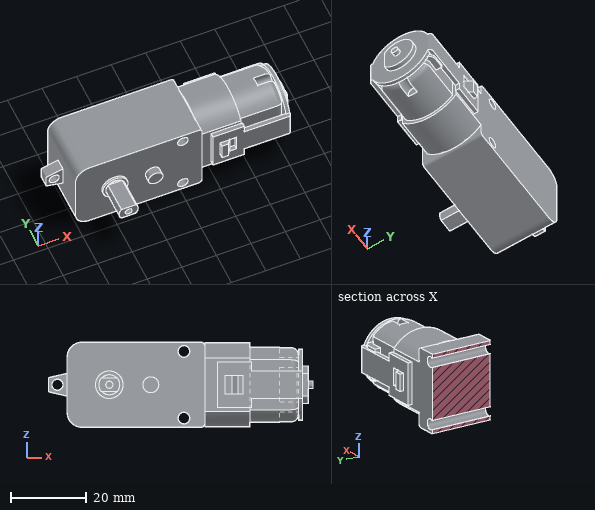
import cadquery as cq

OVERALL_LENGTH = 70.25

BODY_START = 4.9
BODY_END = 41.5
BODY_HEIGHT = 22.7
BODY_FRONT = -10.05
BODY_BACK = 8.6
BODY_CORNER_RADIUS = 4.1
BODY_SMALL_RADIUS = 1.05
SCREW_HOLE_DIAMETER = 3.0
SCREW_HOLE_X = 36.0
SCREW_HOLE_SPACING = 17.7

TAB_TIP_HEIGHT = 3.8
TAB_ROOT_HEIGHT = 6.1
TAB_THICKNESS = 3.2
TAB_TIP_RADIUS = 0.4
TAB_HOLE_DIAMETER = 2.9
TAB_HOLE_X = 2.4

SHAFT_X = 16.15
SHAFT_DIAMETER = 5.55
SHAFT_ACROSS_FLATS = 3.65
SHAFT_TIP = -19.5
SHAFT_HOLE_DIAMETER = 1.9
SHAFT_HOLE_DEPTH = 8.8
COLLAR_DIAMETER = 7.3
COLLAR_THICKNESS = 0.6
COLLAR_RECESS_DIAMETER = 5.35
COLLAR_RECESS_DEPTH = 0.15
PEG_X = 27.2
PEG_DIAMETER = 4.2
PEG_LENGTH = 2.1

SLEEVE_END = 53.45
SLEEVE_DIAMETER = 22.35
SLEEVE_WIDTH = 2 * BODY_BACK
MOTOR_END = 66.4
MOTOR_DIAMETER = 19.95
MOTOR_WIDTH = 14.9
MOTOR_END_RADIUS = 2.0
SLOT_START = 61.4
SLOT_WIDTH = 2.75
SLOT_DEPTH = 2.75
TERMINAL_OUTER_Y = 9.3
TERMINAL_HEIGHT = 9.1

BOSS_END = 69.0
BOSS_DIAMETER = 10.05
BOSS_FLAT_OFFSET = 4.0
MOTOR_SHAFT_DIAMETER = 2.05

CLIP_THICKNESS = 1.25
CLIP_START = 44.8
CLIP_HEAD_END = 53.9
CLIP_HEAD_HEIGHT = 12.1
CLIP_ARM_HEIGHT = 7.4
CLIP_END = 67.5
CLIP_DISC_DIAMETER = 19.0
CLIP_BEND_RADIUS = 0.9
CLIP_OUTER_Y = SLEEVE_WIDTH / 2 + CLIP_THICKNESS
WINDOW_START = 46.85
WINDOW_END = 51.6
WINDOW_HEIGHT = 4.9
HOOK_TOP_END = 48.75
HOOK_ROOT_END = 50.3
HOOK_OUTER_Y = 11.0


def block(x_start, x_end, y_start, y_end, height):
    """Box centred on Z = 0 between the given X and Y limits."""
    size = (x_end - x_start, y_end - y_start, height)
    return cq.Workplane("XY").box(*size, centered=(False, False, True)).translate((x_start, y_start, 0))


def cylinder_x(x_start, x_end, diameter):
    """Cylinder on the motor axis."""
    return cq.Workplane("YZ", origin=(x_start, 0, 0)).circle(diameter / 2).extrude(x_end - x_start)


def cylinder_y(x, y_start, y_end, diameter, z=0.0):
    """Cylinder along Y, from y_start back (+Y) to y_end."""
    plane = cq.Workplane("XZ", origin=(x, y_end, z))
    return plane.circle(diameter / 2).extrude(y_end - y_start)


def make_body():
    body = block(BODY_START, BODY_END, BODY_FRONT, BODY_BACK, BODY_HEIGHT)
    body = body.edges("|Y and <X").fillet(BODY_CORNER_RADIUS)
    body = body.edges("|Y and >X").fillet(BODY_SMALL_RADIUS)
    for side in (-1, 1):
        z = side * SCREW_HOLE_SPACING / 2
        body = body.cut(cylinder_y(SCREW_HOLE_X, BODY_FRONT, BODY_BACK, SCREW_HOLE_DIAMETER, z))
    return body


def make_tab():
    outline = [
        (0, -TAB_TIP_HEIGHT / 2),
        (BODY_START, -TAB_ROOT_HEIGHT / 2),
        (BODY_START, TAB_ROOT_HEIGHT / 2),
        (0, TAB_TIP_HEIGHT / 2),
    ]
    tab = cq.Workplane("XZ").polyline(outline).close().extrude(TAB_THICKNESS / 2, both=True)
    tab = tab.edges("|Y and <X").fillet(TAB_TIP_RADIUS)
    return tab.cut(cylinder_y(TAB_HOLE_X, -TAB_THICKNESS / 2, TAB_THICKNESS / 2, TAB_HOLE_DIAMETER))


def make_output_shaft():
    """Collar with a shallow round recess, and a double-flatted shaft with a blind centre hole."""
    collar_front = BODY_FRONT - COLLAR_THICKNESS
    collar = cylinder_y(SHAFT_X, collar_front, BODY_FRONT, COLLAR_DIAMETER)
    recess = cylinder_y(SHAFT_X, collar_front, collar_front + COLLAR_RECESS_DEPTH, COLLAR_RECESS_DIAMETER)
    shaft = cylinder_y(SHAFT_X, SHAFT_TIP, BODY_FRONT, SHAFT_DIAMETER)
    radius = SHAFT_DIAMETER / 2
    flats = block(SHAFT_X - radius, SHAFT_X + radius, SHAFT_TIP, BODY_FRONT, SHAFT_ACROSS_FLATS)
    hole = cylinder_y(SHAFT_X, SHAFT_TIP, SHAFT_TIP + SHAFT_HOLE_DEPTH, SHAFT_HOLE_DIAMETER)
    return collar.cut(recess).union(shaft.intersect(flats)).cut(hole)


def make_peg():
    return cylinder_y(PEG_X, BODY_FRONT - PEG_LENGTH, BODY_FRONT, PEG_DIAMETER)


def flatted_can(x_start, x_end, diameter, width):
    """Cylinder on the motor axis with flats on its -Y and +Y sides."""
    flats = block(x_start, x_end, -width / 2, width / 2, diameter)
    return cylinder_x(x_start, x_end, diameter).intersect(flats)


def make_motor():
    """Motor can with a rounded rear rim, a round-bottomed slot above and below, and a rear terminal."""
    can = flatted_can(SLEEVE_END, MOTOR_END, MOTOR_DIAMETER, MOTOR_WIDTH)
    can = can.faces(">X").edges().fillet(MOTOR_END_RADIUS)
    slot_arc_z = MOTOR_DIAMETER / 2 - SLOT_DEPTH + SLOT_WIDTH / 2
    slot = cylinder_x(SLOT_START, MOTOR_END, SLOT_WIDTH).translate((0, 0, slot_arc_z))
    slot_sides = block(SLOT_START, MOTOR_END, -SLOT_WIDTH / 2, SLOT_WIDTH / 2, SLOT_WIDTH)
    slot = slot.union(slot_sides.translate((0, 0, slot_arc_z + SLOT_WIDTH / 2)))
    can = can.cut(slot).cut(slot.mirror("XY"))
    terminal = block(SLOT_START, MOTOR_END, 0, TERMINAL_OUTER_Y, TERMINAL_HEIGHT)
    terminal = terminal.edges(">X and >Y").fillet(MOTOR_END_RADIUS)
    return can.union(terminal)


def make_rear_boss():
    """Boss with one flat on its front side, and the motor shaft end."""
    radius = BOSS_DIAMETER / 2
    flat = block(MOTOR_END, BOSS_END, -BOSS_FLAT_OFFSET, radius, BOSS_DIAMETER)
    boss = cylinder_x(MOTOR_END, BOSS_END, BOSS_DIAMETER).intersect(flat)
    shaft = cylinder_x(MOTOR_END, OVERALL_LENGTH, MOTOR_SHAFT_DIAMETER)
    return boss.union(shaft)


def make_clip_side():
    """Windowed head on the +Y side of the sleeve, with its sloped hook."""
    inner_y = SLEEVE_WIDTH / 2
    head = block(CLIP_START, CLIP_HEAD_END, inner_y, CLIP_OUTER_Y, CLIP_HEAD_HEIGHT)
    window = block(WINDOW_START, WINDOW_END, inner_y, CLIP_OUTER_Y, WINDOW_HEIGHT)
    hook_profile = [
        (WINDOW_START, inner_y),
        (HOOK_ROOT_END, inner_y),
        (HOOK_TOP_END, HOOK_OUTER_Y),
        (WINDOW_START, HOOK_OUTER_Y),
    ]
    hook = cq.Workplane("XY").polyline(hook_profile).close().extrude(WINDOW_HEIGHT / 2, both=True)
    return head.cut(window).union(hook)


def make_clip():
    """U-shaped strap around the motor end, a round end plate and a hooked head on each side."""
    inner_y = SLEEVE_WIDTH / 2
    strap = block(CLIP_HEAD_END, CLIP_END, -CLIP_OUTER_Y, CLIP_OUTER_Y, CLIP_ARM_HEIGHT)
    strap = strap.edges("|Z and >X").fillet(CLIP_BEND_RADIUS)
    strap = strap.cut(block(CLIP_HEAD_END, MOTOR_END, -inner_y, inner_y, CLIP_ARM_HEIGHT))
    end_plate_width = 2 * (CLIP_OUTER_Y - CLIP_BEND_RADIUS)
    end_plate = flatted_can(MOTOR_END, CLIP_END, CLIP_DISC_DIAMETER, end_plate_width)
    side = make_clip_side()
    return strap.union(end_plate).union(side).union(side.mirror("XZ"))


result = (
    make_body()
    .union(make_tab())
    .union(make_output_shaft())
    .union(make_peg())
    .union(flatted_can(BODY_END, SLEEVE_END, SLEEVE_DIAMETER, SLEEVE_WIDTH))
    .union(make_motor())
    .union(make_rear_boss())
    .union(make_clip())
)